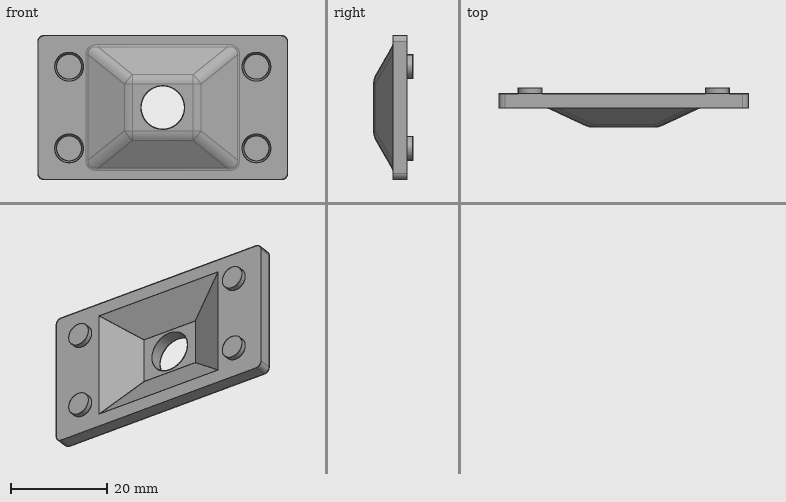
import cadquery as cq
import math

plate_length = 52.0
plate_height = 30.0
sheet_thickness = 3.0
plate_corner_radius = 1.3

dome_height = 4.0
dome_base_length = 31.5
dome_base_height = 25.7
end_slope = math.radians(25.0)
side_slope = math.radians(30.0)
dome_edge_radius = 4.0
dome_foot_radius = 1.0

hole_diameter = 9.0

stud_half_spacing_x = 19.5
stud_half_spacing_z = 8.5
stud_diameter = 5.0
stud_height = 1.2
dimple_mouth_diameter = 6.0
dimple_floor_diameter = 5.2
dimple_depth = 1.3

plate_front = -sheet_thickness
seam_tolerance = 0.01


def front_plane(y):
    """Plane parallel to XZ at the given Y, with its normal pointing to -Y."""
    return cq.Workplane("XZ", origin=(0, y, 0))


def trapezoid(plane, base_y, base_width, rise, slope):
    """Symmetric trapezoid on a plane containing Y, narrowing towards -Y."""
    top_width = base_width - 2 * rise / math.tan(slope)
    corners = [
        (-base_width / 2, base_y),
        (base_width / 2, base_y),
        (top_width / 2, base_y - rise),
        (-top_width / 2, base_y - rise),
    ]
    return cq.Workplane(plane).polyline(corners).close()


def frustum(base_y, base_length, base_height, rise):
    """Four-sided frustum rising towards -Y, as the overlap of two trapezoidal prisms."""
    end_prism = trapezoid("XY", base_y, base_length, rise, end_slope).extrude(base_height / 2, both=True)
    side_prism = trapezoid("ZY", base_y, base_height, rise, side_slope).extrude(base_length / 2, both=True)
    return end_prism.intersect(side_prism)


def make_plate():
    plate = front_plane(0).rect(plate_length, plate_height).extrude(sheet_thickness)
    return plate.edges("|Y").fillet(plate_corner_radius)


def make_dome():
    """Solid dome with rounded hips and a rounded rim around its flat top."""
    dome = frustum(plate_front, dome_base_length, dome_base_height, dome_height)
    return dome.edges("not >Y").fillet(dome_edge_radius)


def blend_dome_foot(body):
    """Fillet the seam where the dome meets the front face of the plate."""
    half_length = dome_base_length / 2 + dome_foot_radius
    half_height = dome_base_height / 2 + dome_foot_radius
    seam_region = cq.selectors.BoxSelector(
        (-half_length, plate_front - seam_tolerance, -half_height),
        (half_length, plate_front + seam_tolerance, half_height),
    )
    return body.edges(seam_region).fillet(dome_foot_radius)


def make_cavity():
    """Hollow behind the dome that keeps the wall one sheet thick."""
    length = dome_base_length - 2 * sheet_thickness * math.tan(end_slope / 2)
    height = dome_base_height - 2 * sheet_thickness * math.tan(side_slope / 2)
    return frustum(0, length, height, dome_height)


def make_hole():
    return front_plane(0).circle(hole_diameter / 2).extrude(sheet_thickness + dome_height)


def make_stud(x, z):
    return front_plane(stud_height).center(x, z).circle(stud_diameter / 2).extrude(stud_height)


def make_dimple(x, z):
    return (
        front_plane(plate_front + dimple_depth)
        .center(x, z)
        .circle(dimple_floor_diameter / 2)
        .workplane(offset=dimple_depth)
        .circle(dimple_mouth_diameter / 2)
        .loft(combine=True)
    )


result = blend_dome_foot(make_plate().union(make_dome()))
result = result.cut(make_cavity()).cut(make_hole())
for x in (-stud_half_spacing_x, stud_half_spacing_x):
    for z in (-stud_half_spacing_z, stud_half_spacing_z):
        result = result.union(make_stud(x, z)).cut(make_dimple(x, z))